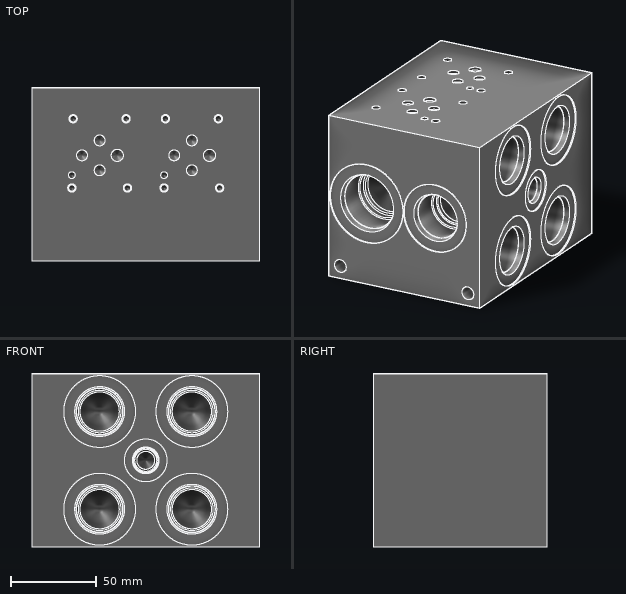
import cadquery as cq
import math

LENGTH = 133.35
WIDTH = 101.6
HEIGHT = 101.6
FRONT_Y = -WIDTH / 2
LEFT_X = -LENGTH / 2
TOP_Z = HEIGHT / 2

DRILL_POINT_ANGLE = 120.0

SPOTFACE_DEPTH = 0.8
TAP_RUNOUT = 4.0
DRILL_RUNOUT = 3.0

LARGE_PORT = dict(
    spotface=49.1, seat=33.76, thread=33.34, tap_drill=31.27, drill=28.57,
    seat_depth=3.3, seat_angle=15.0, thread_depth=20.0,
)
MEDIUM_PORT = dict(
    spotface=42.04, seat=27.43, thread=26.99, tap_drill=24.92, drill=23.01,
    seat_depth=3.3, seat_angle=15.0, thread_depth=20.0,
)
GAUGE_PORT = dict(
    spotface=25.0, seat=14.6, thread=14.29, tap_drill=12.9, drill=10.5,
    seat_depth=2.4, seat_angle=12.0, thread_depth=12.7,
)

PATTERN_SPACING = 53.975
PATTERN_CENTRES_X = (-PATTERN_SPACING / 2, PATTERN_SPACING / 2)

WORK_PORT_Z = 28.575

TANK_PORT_Y = 25.4
PRESSURE_PORT_Y = -20.64

MOUNT_OFFSET_Y = 42.86
MOUNT_Z = -42.86
MOUNT_THREAD = 7.92
MOUNT_DRILL = 6.53
MOUNT_THREAD_DEPTH = 16.0
MOUNT_DRILL_DEPTH = 20.0

PATTERN_REAR_Y = 32.54
REAR_BOLT_HALF_SPAN = 15.5
FRONT_BOLT_HALF_SPAN = 16.25
BOLT_ROW_SPACING = 40.5
BOLT_THREAD = 4.83
BOLT_DRILL = 3.79
BOLT_THREAD_DEPTH = 12.0
BOLT_DRILL_DEPTH = 15.0

LOCATING_PIN_OFFSET = 33.0
LOCATING_PIN_DIAMETER = 3.96
LOCATING_PIN_DEPTH = 5.0

FLOW_ROW_OFFSET = 21.43
FLOW_SPREAD = 8.75
FLOW_SIDE_OFFSET = 10.32
FLOW_DIAMETER = 6.35
TANK_FLOW_DIAMETER = 7.14
FLOW_DEPTH = 1.8


def drill_point_height(diameter):
    return diameter / 2 / math.tan(math.radians(DRILL_POINT_ANGLE / 2))


def round_cutter(plane, sections):
    """Solid of revolution cutting into a face along the plane's normal.

    Each section is (start diameter, end diameter, end depth); the last one gets a drill point.
    """
    profile = cq.Workplane("XZ").moveTo(0, 0)
    depth = 0
    for start_diameter, end_diameter, end_depth in sections:
        profile = profile.lineTo(start_diameter / 2, depth).lineTo(end_diameter / 2, end_depth)
        depth = end_depth
    tip = depth + drill_point_height(end_diameter)
    cutter = profile.lineTo(0, tip).close().revolve(360, (0, 0, 0), (0, 1, 0))
    return cutter.val().moved(cq.Location(plane))


def front_plane(x, z):
    return cq.Plane((x, FRONT_Y, z), xDir=(1, 0, 0), normal=(0, 1, 0))


def left_plane(y, z):
    return cq.Plane((LEFT_X, y, z), xDir=(0, 1, 0), normal=(1, 0, 0))


def top_plane(x, y):
    return cq.Plane((x, y, TOP_Z), xDir=(1, 0, 0), normal=(0, 0, -1))


def port(plane, spotface, seat, thread, tap_drill, drill, seat_depth, seat_angle, thread_depth):
    seat_end = SPOTFACE_DEPTH + seat_depth
    seat_mouth = seat + 2 * seat_depth * math.tan(math.radians(seat_angle))
    tap_end = thread_depth + TAP_RUNOUT
    return round_cutter(plane, [
        (spotface, spotface, SPOTFACE_DEPTH),
        (seat_mouth, seat, seat_end),
        (thread, thread, thread_depth),
        (tap_drill, tap_drill, tap_end),
        (drill, drill, tap_end + DRILL_RUNOUT),
    ])


def tapped_hole(plane, thread, drill, thread_depth, drill_depth):
    return round_cutter(plane, [(thread, thread, thread_depth), (drill, drill, drill_depth)])


def plain_hole(plane, diameter, depth):
    return round_cutter(plane, [(diameter, diameter, depth)])


def front_ports():
    cutters = [port(front_plane(0, 0), **GAUGE_PORT)]
    for x in PATTERN_CENTRES_X:
        for z in (-WORK_PORT_Z, WORK_PORT_Z):
            cutters.append(port(front_plane(x, z), **MEDIUM_PORT))
    return cutters


def left_ports():
    return [
        port(left_plane(TANK_PORT_Y, 0), **LARGE_PORT),
        port(left_plane(PRESSURE_PORT_Y, 0), **MEDIUM_PORT),
    ]


def mounting_holes():
    cutters = []
    for y in (-MOUNT_OFFSET_Y, MOUNT_OFFSET_Y):
        plane = left_plane(y, MOUNT_Z)
        cutters.append(tapped_hole(plane, MOUNT_THREAD, MOUNT_DRILL, MOUNT_THREAD_DEPTH, MOUNT_DRILL_DEPTH))
    return cutters


def valve_pattern(centre_x):
    front_bolt_y = PATTERN_REAR_Y - BOLT_ROW_SPACING
    flow_y = PATTERN_REAR_Y - FLOW_ROW_OFFSET
    cutters = []
    for half_span, y in ((REAR_BOLT_HALF_SPAN, PATTERN_REAR_Y), (FRONT_BOLT_HALF_SPAN, front_bolt_y)):
        for x in (centre_x - half_span, centre_x + half_span):
            plane = top_plane(x, y)
            cutters.append(tapped_hole(plane, BOLT_THREAD, BOLT_DRILL, BOLT_THREAD_DEPTH, BOLT_DRILL_DEPTH))

    pin_plane = top_plane(centre_x - FRONT_BOLT_HALF_SPAN, PATTERN_REAR_Y - LOCATING_PIN_OFFSET)
    cutters.append(plain_hole(pin_plane, LOCATING_PIN_DIAMETER, LOCATING_PIN_DEPTH))

    cutters.append(plain_hole(top_plane(centre_x - FLOW_SIDE_OFFSET, flow_y), FLOW_DIAMETER, FLOW_DEPTH))
    cutters.append(plain_hole(top_plane(centre_x + FLOW_SIDE_OFFSET, flow_y), TANK_FLOW_DIAMETER, FLOW_DEPTH))
    for y in (flow_y - FLOW_SPREAD, flow_y + FLOW_SPREAD):
        cutters.append(plain_hole(top_plane(centre_x, y), FLOW_DIAMETER, FLOW_DEPTH))
    return cutters


block = cq.Workplane("XY").box(LENGTH, WIDTH, HEIGHT)
cutters = front_ports() + left_ports() + mounting_holes()
for pattern_x in PATTERN_CENTRES_X:
    cutters += valve_pattern(pattern_x)
result = cq.Workplane(block.val().cut(*cutters))